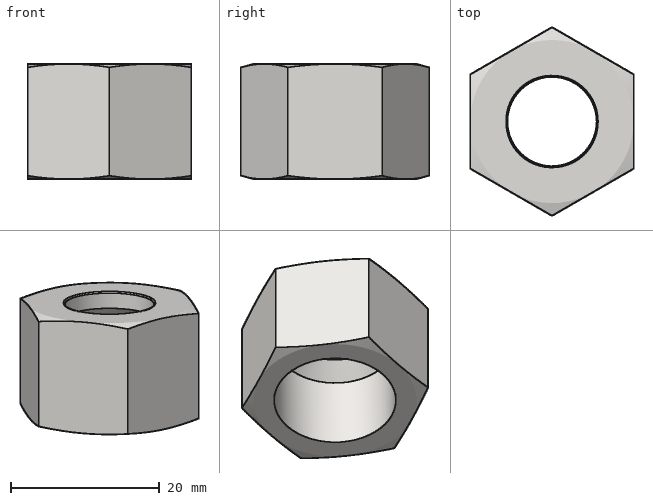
import cadquery as cq
import math

corner_diameter = 25.4
height = 15.5

bevel_angle = 15.0
bevel_face_diameter = 21.95
corner_radius = corner_diameter / 2
bevel_face_radius = bevel_face_diameter / 2
bevel_drop = (corner_radius - bevel_face_radius) * math.tan(math.radians(bevel_angle))

tube_radius = 12.0 / 2
thread_radius = 16.38 / 2
mouth_chamfer = 0.2
tube_bore_depth = 2.3
cone_height = thread_radius - tube_radius


def revolved(profile):
    """Revolve a radius-height profile about the Z axis."""
    return cq.Workplane("XZ").polyline(profile).close().revolve(360, (0, 0), (0, 1))


def hexagon_body():
    hexagon = cq.Workplane("XY").polygon(6, corner_diameter).extrude(height)
    return hexagon.rotate((0, 0, 0), (0, 0, 1), 90)


def bevel_envelope():
    """Disc with coned ends that the hexagon is trimmed to."""
    return revolved([
        (0, 0),
        (bevel_face_radius, 0),
        (corner_radius, bevel_drop),
        (corner_radius, height - bevel_drop),
        (bevel_face_radius, height),
        (0, height),
    ])


def stepped_bore():
    cone_top = height - tube_bore_depth
    return revolved([
        (0, 0),
        (thread_radius, 0),
        (thread_radius, cone_top - cone_height),
        (tube_radius, cone_top),
        (tube_radius, height - mouth_chamfer),
        (tube_radius + mouth_chamfer, height),
        (0, height),
    ])


result = hexagon_body().intersect(bevel_envelope()).cut(stepped_bore())